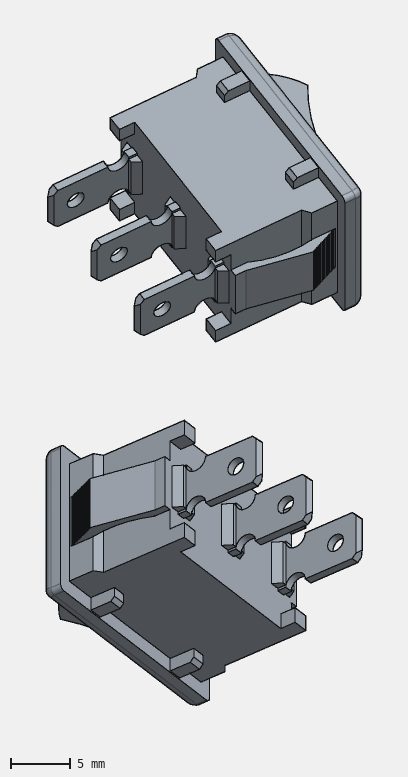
import cadquery as cq
import math


bezel_width = 21.01
bezel_height = 15.01
bezel_thickness = 2.03
bezel_edge_radius = 1.0
bezel_corner_radius = 0.5

rocker_height = 9.57
rocker_peak_x = -3.8
rocker_peak_y = 5.06
rocker_left_x = -7.15
rocker_left_bulge = 0.33
rocker_right_x = 6.8
rocker_right_sag = 0.78

body_height = 12.13
body_depth = 10.12
body_width = 17.13
shoulder_width = 18.56
shoulder_depth = 2.54
shoulder_slope_end = 3.1
foot_size = 1.52

stop_spacing = 11.18
stop_width = 1.3
stop_depth = 2.5
stop_span = 14.7
stop_chamfer = 0.38

clip_height = 5.08
clip_start_depth = 0.2
clip_peak_depth = 3.1
clip_heel_depth = 9.07
clip_tooth_count = 16
clip_tooth_undercut = 0.03
clip_inner_x = 9.45
clip_inner_depth = 4.3
clip_inner_end_depth = 8.5

terminal_spacing = 7.02
blade_thickness = 0.78
blade_height = 4.76
blade_tip_depth = 18.78
blade_corner = 0.78
blade_hole_diameter = 1.65
blade_hole_depth = 16.22
notch_radius = 1.02
collar_depth = 0.85
collar_height = 4.28
collar_base_width = 2.54
collar_top_width = 1.52


def extrude_z(profile, height):
    """Extrude an XY profile symmetrically about Z = 0."""
    return profile.extrude(height / 2, both=True)


def box_between(width, y_start, y_end, height):
    """Box centred on X and Z that spans two Y positions."""
    centre_y = (y_start + y_end) / 2
    return cq.Workplane("XY").box(width, abs(y_end - y_start), height).translate((0, centre_y, 0))


def chord_point(start, end, offset):
    """Midpoint of a chord, moved sideways to the left of its direction."""
    run = end[0] - start[0]
    rise = end[1] - start[1]
    length = math.hypot(run, rise)
    mid_x = (start[0] + end[0]) / 2 - offset * rise / length
    mid_y = (start[1] + end[1]) / 2 + offset * run / length
    return (mid_x, mid_y)


def make_bezel():
    """Flange plate with rounded corners and a rounded outer edge."""
    bezel = box_between(bezel_width, 0, bezel_thickness, bezel_height)
    bezel = bezel.edges("|Y").fillet(bezel_corner_radius)
    return bezel.faces(">Y").edges().fillet(bezel_edge_radius)


def make_rocker():
    """Rocker with a convex left side and a concave right side, rooted halfway into the bezel."""
    left = (rocker_left_x, bezel_thickness)
    peak = (rocker_peak_x, rocker_peak_y)
    right = (rocker_right_x, bezel_thickness)
    profile = (
        cq.Workplane("XY")
        .moveTo(rocker_left_x, bezel_thickness / 2)
        .lineTo(*left)
        .threePointArc(chord_point(left, peak, rocker_left_bulge), peak)
        .threePointArc(chord_point(peak, right, -rocker_right_sag), right)
        .lineTo(rocker_right_x, bezel_thickness / 2)
        .close()
    )
    return extrude_z(profile, rocker_height)


def make_body():
    """Stepped housing with a square foot at each rear corner."""
    half_shoulder = shoulder_width / 2
    half_body = body_width / 2
    profile = cq.Workplane("XY").polyline([
        (-half_shoulder, 0),
        (-half_shoulder, -shoulder_depth),
        (-half_body, -shoulder_slope_end),
        (-half_body, -body_depth),
        (half_body, -body_depth),
        (half_body, -shoulder_slope_end),
        (half_shoulder, -shoulder_depth),
        (half_shoulder, 0),
    ]).close()
    body = extrude_z(profile, body_height)
    feet = (
        cq.Workplane("XZ", origin=(0, -body_depth, 0))
        .rarray(body_width - foot_size, body_height - foot_size, 2, 2)
        .rect(foot_size, foot_size)
        .extrude(foot_size)
    )
    return body.union(feet)


def make_stops():
    """Bars running over the full stop span; the middle lies inside the body."""
    bar = box_between(stop_width, 0, -stop_depth, stop_span)
    bar = bar.faces("<Y").edges("|X").chamfer(stop_chamfer)
    half_spacing = stop_spacing / 2
    return bar.translate((half_spacing, 0, 0)).union(bar.translate((-half_spacing, 0, 0)))


def ramp_teeth(start, end):
    """Points of a sawtooth ramp from start to end, with every tooth tip on the straight line."""
    step_x = (end[0] - start[0]) / clip_tooth_count
    step_y = (end[1] - start[1]) / clip_tooth_count
    points = [start]
    for tooth in range(clip_tooth_count):
        foot_x = start[0] + tooth * step_x
        foot_y = start[1] + tooth * step_y
        if tooth > 0:
            points.append((foot_x - clip_tooth_undercut, foot_y + step_y / 2))
        points.append((foot_x + step_x, foot_y + step_y))
    return points


def make_clip():
    """Snap clip on the +X side, with a toothed ramp that grips the panel edge."""
    root_x = shoulder_width / 2
    wall_x = body_width / 2
    profile = (
        cq.Workplane("XY")
        .polyline(ramp_teeth((root_x, -clip_start_depth), (bezel_width / 2, -clip_peak_depth)))
        .lineTo(root_x, -clip_heel_depth)
        .lineTo(root_x, -body_depth)
        .lineTo(wall_x, -body_depth)
        .lineTo(wall_x, -clip_inner_end_depth)
        .threePointArc((clip_inner_x, -clip_inner_depth), (root_x, -shoulder_depth))
        .close()
    )
    return extrude_z(profile, clip_height)


def make_terminal():
    """Necked tab blade with a hole, standing in a tapered collar."""
    half_blade = blade_thickness / 2
    half_collar = collar_base_width / 2
    half_top = collar_top_width / 2
    collar_end = body_depth + collar_depth

    blade = box_between(blade_thickness, -body_depth, -blade_tip_depth, blade_height)
    blade = blade.faces("<Y").edges("|X").chamfer(blade_corner)

    edge_outline = cq.Workplane("XY").polyline([
        (-half_blade, -body_depth),
        (-half_blade, half_blade - blade_tip_depth),
        (0, -blade_tip_depth),
        (half_blade, half_blade - blade_tip_depth),
        (half_blade, -body_depth),
    ]).close()
    blade = blade.intersect(extrude_z(edge_outline, blade_height))

    neck_y = -collar_end - notch_radius
    notches = cq.Workplane("YZ").pushPoints([
        (neck_y, blade_height / 2),
        (neck_y, -blade_height / 2),
    ]).circle(notch_radius).extrude(blade_thickness, both=True)
    hole = (
        cq.Workplane("YZ")
        .center(-blade_hole_depth, 0)
        .circle(blade_hole_diameter / 2)
        .extrude(blade_thickness, both=True)
    )
    blade = blade.cut(notches).cut(hole)

    collar = cq.Workplane("XY").polyline([
        (-half_collar, -body_depth),
        (-half_top, -collar_end),
        (half_top, -collar_end),
        (half_collar, -body_depth),
    ]).close()
    return blade.union(extrude_z(collar, collar_height))


result = make_body().union(make_bezel()).union(make_rocker()).union(make_stops())

clip = make_clip()
result = result.union(clip).union(clip.mirror("YZ"))

terminal = make_terminal()
for position in (-1, 0, 1):
    result = result.union(terminal.translate((position * terminal_spacing, 0, 0)))